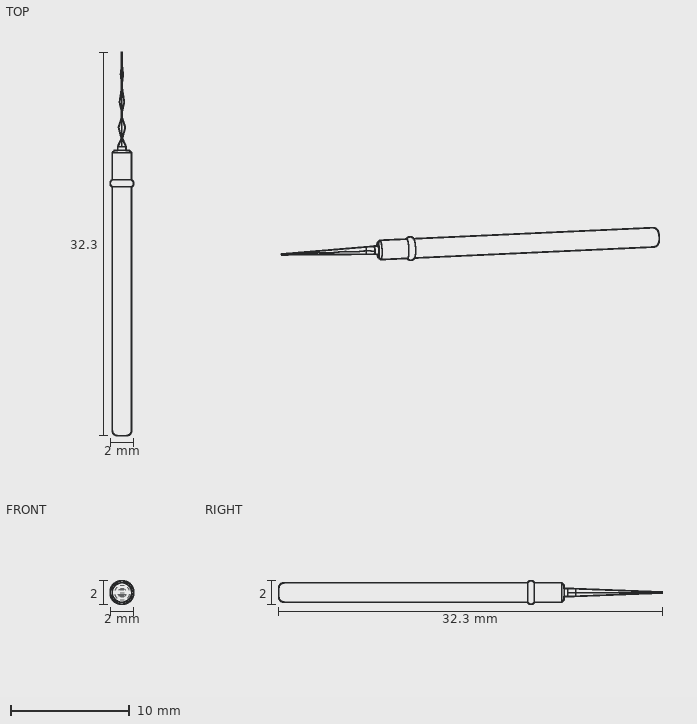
import cadquery as cq

total_length = 32.3

handle_radius = 0.825
handle_end = 24.03
rear_rounding = 0.45
front_chamfer = 0.2

collar_radius = 1.0
collar_position = 21.25
collar_half_width = 0.3

neck_radius = 0.35
neck_end = 24.35

tip_half_height = 0.05
waist_half_width = 0.05
blade_length = total_length - neck_end
blade_stations = [
    (0.0, False),
    (1.3, False),
    (1.87, True),
    (2.42, False),
    (3.13, False),
    (4.2, True),
    (4.9, False),
    (5.55, False),
    (6.33, True),
    (7.27, False),
    (blade_length, True),
]


def make_handle():
    """Revolve the handle, collar and neck about the Y axis."""
    return (
        cq.Workplane("XY")
        .moveTo(0, 0)
        .lineTo(handle_radius - rear_rounding, 0)
        .radiusArc((handle_radius, rear_rounding), -rear_rounding)
        .lineTo(handle_radius, collar_position - collar_half_width)
        .threePointArc(
            (collar_radius, collar_position),
            (handle_radius, collar_position + collar_half_width),
        )
        .lineTo(handle_radius, handle_end - front_chamfer)
        .lineTo(handle_radius - front_chamfer, handle_end)
        .lineTo(neck_radius, handle_end)
        .lineTo(neck_radius, neck_end)
        .lineTo(0, neck_end)
        .close()
        .revolve(360, (0, 0, 0), (0, 1, 0))
    )


def blade_section(distance, full_width):
    """Return the rhombus outline at a distance back from the tip."""
    taper = (neck_radius - tip_half_height) / blade_length
    half_height = tip_half_height + taper * distance
    half_width = half_height if full_width else waist_half_width
    y = total_length - distance
    corners = [
        (half_width, y, 0),
        (0, y, half_height),
        (-half_width, y, 0),
        (0, y, -half_height),
    ]
    return cq.Wire.makePolygon([cq.Vector(*corner) for corner in corners], close=True)


def make_blade():
    """Join the blade sections with straight-sided facets."""
    sections = [blade_section(distance, full) for distance, full in blade_stations]
    return cq.Workplane("XY").add(cq.Solid.makeLoft(sections, True))


result = make_handle().union(make_blade())